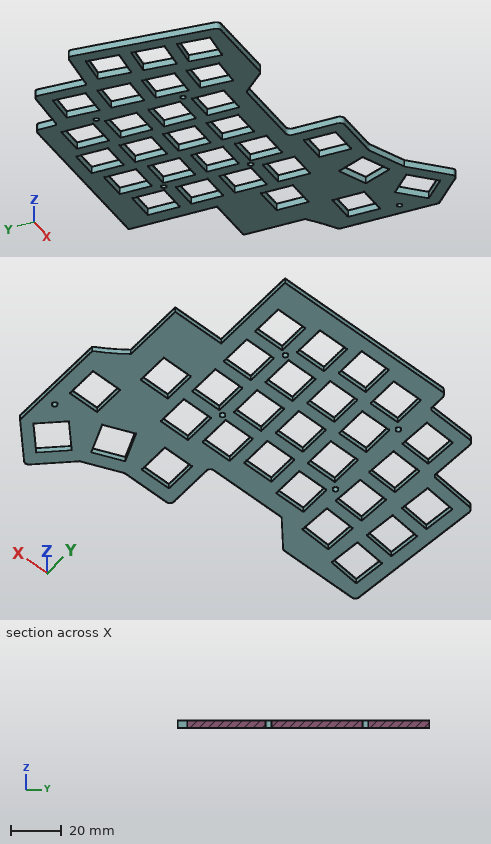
import cadquery as cq
import math

PLATE_LENGTH = 132.85
THICKNESS = 3.0
KEY_PITCH = 19.05
KEY_OPENING = 14.0
MARGIN = 12.7
STAGGER = 2.95
CORNER_RADIUS = 2.0
SMALL_RADIUS = 1.0
BEND_RADIUS = 4.0
SCREW_DIAMETER = 2.2

PINKY = (-62.05, -34.35, 6.0, 3)
RING = (-41.6, -10.1, 3.0, 4)
SECOND = (-KEY_PITCH, -STAGGER, 0.0, 4)
MIDDLE = (0.0, 0.0, 0.0, 4)
INDEX = (KEY_PITCH, -STAGGER, 0.0, 4)
INNER = (2 * KEY_PITCH, -2 * STAGGER, 0.0, 4)
COLUMNS = (PINKY, RING, SECOND, MIDDLE, INDEX, INNER)

SIDE_KEY = (3 * KEY_PITCH, -52.9, 0.0)
UPPER_THUMB = (74.1, -75.9, 0.0)
INNER_THUMB = (1.5 * KEY_PITCH, -4.5 * KEY_PITCH, 0.0)
MIDDLE_THUMB = (52.33, -90.1, -22.5)
OUTER_THUMB = (72.6, -103.5, 45.0)
SINGLE_KEYS = (SIDE_KEY, UPPER_THUMB, INNER_THUMB, MIDDLE_THUMB, OUTER_THUMB)

SCREW_LEFT_X = -1.5 * KEY_PITCH
SCREW_LEFT_Y = -STAGGER - KEY_PITCH / 2
SCREW_RIGHT_X = 1.5 * KEY_PITCH
SCREW_RIGHT_Y = -1.5 * STAGGER - KEY_PITCH / 2
SCREW_ROW_STEP = 2 * KEY_PITCH
OUTER_SCREW = (82.15, -90.9)
SCREWS = (
    (SCREW_LEFT_X, SCREW_LEFT_Y),
    (SCREW_LEFT_X, SCREW_LEFT_Y - SCREW_ROW_STEP),
    (SCREW_RIGHT_X, SCREW_RIGHT_Y),
    (SCREW_RIGHT_X, SCREW_RIGHT_Y - SCREW_ROW_STEP),
    OUTER_SCREW,
)

TOP_Y = MARGIN
SECOND_LEFT_X = SECOND[0] - MARGIN
INNER_RIGHT_X = 51.5
SIDE_TOP_Y = -26.0
SIDE_RIGHT_X = 75.2
RIGHT_X = 87.69
FINGER_BOTTOM_Y = -74.65
PINKY_BOTTOM_Y = -86.3
BOTTOM_SLOPE_LEFT_X = -31.9
BOTTOM_SLOPE_RIGHT_X = -21.2
THUMB_LEFT_X = INNER_THUMB[0] - MARGIN
THUMB_BOTTOM_Y = INNER_THUMB[1] - MARGIN

SHOULDER_TOP_Y = -52.9
SHOULDER_BOTTOM_Y = -61.6
SHOULDER_BULGE = 0.3

TIP_X = 72.2
LOWEST_Y = TOP_Y - PLATE_LENGTH
TIP_Y = LOWEST_Y - CORNER_RADIUS * (math.sqrt(2) - 1)
THUMB_BEND_X = 39.6


def step(point, tilt, across, along):
    """Move from a point in a frame tilted counter-clockwise by tilt degrees."""
    angle = math.radians(tilt)
    x = point[0] + across * math.cos(angle) - along * math.sin(angle)
    y = point[1] + across * math.sin(angle) + along * math.cos(angle)
    return x, y


def top_left_corner(column):
    """Plate corner one margin up and left of the top key of a column."""
    x, y, tilt, _ = column
    return step((x, y), tilt, -MARGIN, MARGIN)


def meet(start, start_angle, other, other_angle):
    """Crossing of two lines, each given by a point and a direction in degrees."""
    ax, ay = math.cos(math.radians(start_angle)), math.sin(math.radians(start_angle))
    bx, by = math.cos(math.radians(other_angle)), math.sin(math.radians(other_angle))
    dx, dy = other[0] - start[0], other[1] - start[1]
    distance = (dx * by - dy * bx) / (ax * by - ay * bx)
    return start[0] + distance * ax, start[1] + distance * ay


def make_plate():
    """Plate body with its outline corners rounded."""
    pinky_corner = top_left_corner(PINKY)
    ring_corner = top_left_corner(RING)
    pinky_tilt, ring_tilt = PINKY[2], RING[2]

    second_corner = (SECOND_LEFT_X, TOP_Y)
    ring_notch = meet(ring_corner, ring_tilt, second_corner, 90)
    pinky_notch = meet(pinky_corner, pinky_tilt, ring_corner, 90 + ring_tilt)
    pinky_foot = meet(pinky_corner, 90 + pinky_tilt, (0, PINKY_BOTTOM_Y), 0)
    slope_foot = (BOTTOM_SLOPE_LEFT_X, PINKY_BOTTOM_Y)
    slope_head = (BOTTOM_SLOPE_RIGHT_X, FINGER_BOTTOM_Y)
    thumb_notch = (THUMB_LEFT_X, FINGER_BOTTOM_Y)
    thumb_corner = (THUMB_LEFT_X, THUMB_BOTTOM_Y)
    thumb_bend = (THUMB_BEND_X, THUMB_BOTTOM_Y)
    tip = (TIP_X, TIP_Y)
    tip_valley = meet(thumb_bend, MIDDLE_THUMB[2], tip, 90 + OUTER_THUMB[2])
    tip_shoulder = meet(tip, OUTER_THUMB[2], (RIGHT_X, 0), 90)

    shoulder_top = (SIDE_RIGHT_X, SHOULDER_TOP_Y)
    shoulder_bottom = (RIGHT_X, SHOULDER_BOTTOM_Y)

    plate = (
        cq.Workplane("XY")
        .moveTo(*second_corner)
        .lineTo(*ring_notch)
        .lineTo(*ring_corner)
        .lineTo(*pinky_notch)
        .lineTo(*pinky_corner)
        .lineTo(*pinky_foot)
        .lineTo(*slope_foot)
        .lineTo(*slope_head)
        .lineTo(*thumb_notch)
        .lineTo(*thumb_corner)
        .lineTo(*thumb_bend)
        .lineTo(*tip_valley)
        .lineTo(*tip)
        .lineTo(*tip_shoulder)
        .lineTo(*shoulder_bottom)
        .sagittaArc(shoulder_top, SHOULDER_BULGE)
        .lineTo(SIDE_RIGHT_X, SIDE_TOP_Y)
        .lineTo(INNER_RIGHT_X, SIDE_TOP_Y)
        .lineTo(INNER_RIGHT_X, TOP_Y)
        .close()
        .extrude(THICKNESS)
    )
    rounded = (second_corner, ring_corner, pinky_corner, pinky_foot, slope_foot,
               thumb_notch, thumb_corner, tip)
    for corner in rounded:
        plate = round_corner(plate, corner, CORNER_RADIUS)
    for corner in (ring_notch, pinky_notch, slope_head):
        plate = round_corner(plate, corner, SMALL_RADIUS)
    return round_corner(plate, thumb_bend, BEND_RADIUS)


def round_corner(plate, corner, radius):
    """Round the upright edge that stands on an outline corner."""
    middle = (corner[0], corner[1], THICKNESS / 2)
    return plate.edges("|Z").edges(cq.NearestToPointSelector(middle)).fillet(radius)


def column_keys(column):
    """Keys of a column, one pitch apart along its tilted centre line."""
    x, y, tilt, count = column
    return [(*step((x, y), tilt, 0, -row * KEY_PITCH), tilt) for row in range(count)]


def cut_keys(plate):
    """Cut every square switch opening through the plate."""
    keys = list(SINGLE_KEYS)
    for column in COLUMNS:
        keys += column_keys(column)
    for x, y, rotation in keys:
        opening = (
            cq.Workplane("XY")
            .rect(KEY_OPENING, KEY_OPENING)
            .extrude(THICKNESS)
            .rotate((0, 0, 0), (0, 0, 1), rotation)
            .translate((x, y, 0))
        )
        plate = plate.cut(opening)
    return plate


def cut_screws(plate):
    """Drill the screw holes through the plate."""
    drills = cq.Workplane("XY").pushPoints(SCREWS).circle(SCREW_DIAMETER / 2).extrude(THICKNESS)
    return plate.cut(drills)


result = cut_screws(cut_keys(make_plate()))